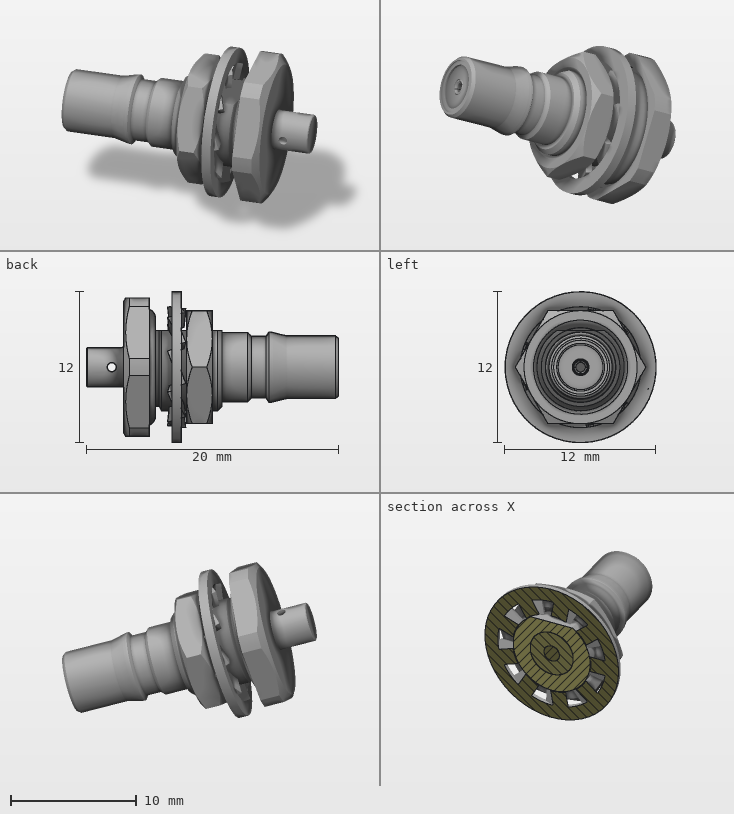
import cadquery as cq
import math


total_length = 20.0
flange_diameter = 12.0

barrel_radius = 2.5
barrel_end_chamfer = (0.25, 0.2)
barrel_cone_start = 4.1
cone_end = 5.18
cone_end_radius = 2.75
ridge_start = 5.4
ridge_end = 5.52
ridge_radius = 2.8
ridge_back_x = 5.58
ridge_back_radius = 2.7
neck_start = 5.75
neck_radius = 2.45
neck_end = 6.92
collar_start = 7.22
collar_radius = 2.75

thread_start = 9.25
thread_full_start = 9.6
thread_full_end = 14.05
thread_end = 14.25
thread_radius = 3.45
thread_root_radius = 3.12
thread_flat_height = 2.92

flange_start = 15.02
flange_end = 17.05
flange_across_flats = 11.0
flange_chamfer = (0.45, 0.78)
tail_radius = 1.55
tail_root_radius = 1.6
tail_root_length = 0.2
tail_end_chamfer = 0.05
solder_hole_x = 18.0
solder_hole_diameter = 0.7

mouth_radius = 2.15
mouth_depth = 0.08
insulator_seat_radius = 1.9

insulator_front = mouth_depth
insulator_rim_radius = 1.78
insulator_rim_depth = 0.18
insulator_back = flange_start
insulator_bore_radius = 0.65
contact_front = insulator_front + insulator_rim_depth
contact_socket_radius = 0.38
contact_socket_depth = 4.0
contact_mouth_chamfer = 0.15
contact_tip_chamfer = 0.08
contact_slot_width = 0.05
contact_slot_length = 3.2

o_ring_front = 14.52
o_ring_section_radius = 0.75
o_ring_centre_radius = thread_root_radius + o_ring_section_radius
o_ring_centre_x = o_ring_front + o_ring_section_radius
o_ring_groove_end = o_ring_centre_x + o_ring_section_radius
o_ring_groove_radius = 5.0

nut_start = 10.02
nut_end = 12.05
nut_across_flats = 8.98
nut_corner_chamfer = 0.45
nut_bore_radius = 3.15
nut_mouth_radius = 3.75
nut_mouth_depth = 0.35

washer_start = 12.48
washer_end = 13.22
washer_diameter = 12.0
washer_inner_radius = 4.8
tooth_count = 9
tooth_tip_radius = 3.48
tooth_thickness = 0.48
tooth_twist = 20.0
tooth_gap = 0.45
tooth_pitch = 360.0 / tooth_count


def revolve_about_x(points):
    """Solid of revolution about X from a closed (x, radius) profile."""
    return cq.Workplane("XY").polyline(points).close().revolve(360, (0, 0, 0), (1, 0, 0))


def tube_along_x(start, end, outer_radius, inner_radius=0.0):
    """Cylinder, or tube if an inner radius is given, between two X positions."""
    section = cq.Workplane("YZ", origin=(start, 0, 0)).circle(outer_radius)
    if inner_radius > 0:
        section = section.circle(inner_radius)
    return section.extrude(end - start)


def hexagon_along_x(start, end, across_flats):
    """Hexagonal prism along X with flats facing +Z and -Z."""
    across_corners = across_flats / math.cos(math.radians(30))
    return cq.Workplane("YZ", origin=(start, 0, 0)).polygon(6, across_corners).extrude(end - start)


def make_turned_housing():
    chamfer_length, chamfer_height = barrel_end_chamfer
    return revolve_about_x([
        (0, 0),
        (0, barrel_radius - chamfer_height),
        (chamfer_length, barrel_radius),
        (barrel_cone_start, barrel_radius),
        (cone_end, cone_end_radius),
        (ridge_start, ridge_radius),
        (ridge_end, ridge_radius),
        (ridge_back_x, ridge_back_radius),
        (neck_start, neck_radius),
        (neck_end, neck_radius),
        (collar_start, collar_radius),
        (thread_start, collar_radius),
        (thread_start, thread_root_radius),
        (thread_full_start, thread_radius),
        (thread_full_end, thread_radius),
        (thread_end, thread_root_radius),
        (flange_end, thread_root_radius),
        (flange_end, tail_root_radius),
        (flange_end + tail_root_length, tail_radius),
        (total_length - tail_end_chamfer, tail_radius),
        (total_length, tail_radius - tail_end_chamfer),
        (total_length, 0),
    ])


def make_thread_flat_cutter():
    length = flange_start - thread_start
    height = thread_radius - thread_flat_height
    return cq.Workplane("XY").box(length, 2 * thread_radius, height, centered=(False, True, False)).translate(
        (thread_start, 0, thread_flat_height)
    )


def make_flange():
    """Hexagon with turned corners, a chamfered rear face and an O-ring groove in front."""
    radius = flange_diameter / 2
    chamfer_length, chamfer_height = flange_chamfer
    envelope = revolve_about_x([
        (flange_start, 0),
        (flange_start, radius),
        (flange_end - chamfer_length, radius),
        (flange_end, radius - chamfer_height),
        (flange_end, 0),
    ])
    groove = tube_along_x(flange_start, o_ring_groove_end, o_ring_groove_radius, thread_root_radius)
    hexagon = hexagon_along_x(flange_start, flange_end, flange_across_flats)
    return hexagon.intersect(envelope).cut(groove)


def make_housing():
    solder_hole = (
        cq.Workplane("XZ", origin=(solder_hole_x, 0, 0))
        .circle(solder_hole_diameter / 2)
        .extrude(2 * tail_radius, both=True)
    )
    return (
        make_turned_housing()
        .cut(make_thread_flat_cutter())
        .union(make_flange())
        .cut(tube_along_x(0, mouth_depth, mouth_radius))
        .cut(tube_along_x(0, insulator_back, insulator_seat_radius))
        .cut(solder_hole)
    )


def make_insulator():
    outer = tube_along_x(insulator_front, insulator_back, insulator_seat_radius, insulator_bore_radius)
    return outer.cut(tube_along_x(insulator_front, insulator_front + insulator_rim_depth, insulator_rim_radius))


def make_contact():
    """Centre pin whose front end is a flared socket split by crossed slots into four fingers."""
    socket_end = contact_front + contact_socket_depth
    contact = revolve_about_x([
        (contact_front, contact_socket_radius + contact_mouth_chamfer),
        (contact_front, insulator_bore_radius - contact_tip_chamfer),
        (contact_front + contact_tip_chamfer, insulator_bore_radius),
        (insulator_back, insulator_bore_radius),
        (insulator_back, 0),
        (socket_end, 0),
        (socket_end, contact_socket_radius),
        (contact_front + contact_mouth_chamfer, contact_socket_radius),
    ])
    slot = (
        cq.Workplane("YZ", origin=(contact_front, 0, 0))
        .rect(contact_slot_width, 2 * insulator_bore_radius)
        .extrude(contact_slot_length)
    )
    for angle in (0, 90):
        contact = contact.cut(slot.rotate((0, 0, 0), (1, 0, 0), angle))
    return contact


def make_o_ring():
    return (
        cq.Workplane("XY", origin=(o_ring_centre_x, o_ring_centre_radius, 0))
        .circle(o_ring_section_radius)
        .revolve(360, (0, -o_ring_centre_radius, 0), (1, -o_ring_centre_radius, 0))
    )


def make_nut(mating_housing):
    """Hexagonal nut, chamfered on both faces, its bore fitted to the thread and its flat."""
    face_radius = nut_across_flats / 2
    corner_radius = face_radius / math.cos(math.radians(30))
    envelope = revolve_about_x([
        (nut_start, nut_mouth_radius),
        (nut_start, face_radius),
        (nut_start + nut_corner_chamfer, corner_radius),
        (nut_end - nut_corner_chamfer, corner_radius),
        (nut_end, face_radius),
        (nut_end, nut_mouth_radius),
        (nut_end - nut_mouth_depth, nut_bore_radius),
        (nut_start + nut_mouth_depth, nut_bore_radius),
    ])
    return hexagon_along_x(nut_start, nut_end, nut_across_flats).intersect(envelope).cut(mating_housing)


def make_washer_tooth():
    """One tapered tooth on the +Y side, twisted about its own radial centre line."""
    half_pitch = math.radians(tooth_pitch / 2)
    outer = washer_inner_radius
    half_gap = tooth_gap / 2 / math.cos(half_pitch)
    inner_half_width = tooth_tip_radius * math.tan(half_pitch) - half_gap
    outer_half_width = outer * math.tan(half_pitch) - half_gap
    root_y = tooth_tip_radius * math.cos(half_pitch)
    return (
        cq.Workplane("YZ")
        .polyline([
            (root_y, -inner_half_width),
            (root_y, inner_half_width),
            (outer, outer_half_width),
            (outer, -outer_half_width),
        ])
        .close()
        .extrude(tooth_thickness / 2, both=True)
        .rotate((0, 0, 0), (0, 1, 0), tooth_twist)
        .translate(((washer_start + washer_end) / 2, 0, 0))
    )


def make_lock_washer():
    washer = tube_along_x(washer_start, washer_end, washer_diameter / 2, washer_inner_radius)
    trim = tube_along_x(nut_end, thread_full_end, washer_inner_radius, tooth_tip_radius)
    tooth = make_washer_tooth().intersect(trim)
    for index in range(tooth_count):
        washer = washer.union(tooth.rotate((0, 0, 0), (1, 0, 0), index * tooth_pitch))
    return washer


housing = make_housing()
insulator = make_insulator()
contact = make_contact()
o_ring = make_o_ring()
nut = make_nut(housing)
lock_washer = make_lock_washer()

result = cq.Compound.makeCompound([
    housing.val(),
    insulator.val(),
    contact.val(),
    o_ring.val(),
    nut.val(),
    lock_washer.val(),
])